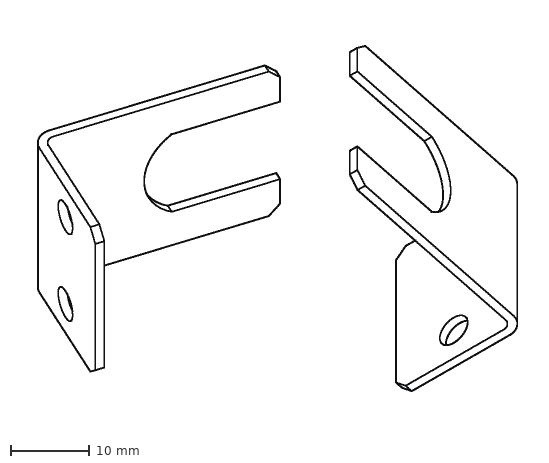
import cadquery as cq

short_leg = 20.32
long_leg = 34.29
height = 25.4
thickness = 1.27
inner_bend_radius = thickness
outer_bend_radius = inner_bend_radius + thickness
corner_chamfer = 1.6

hole_diameter = 4.572
hole_spacing = 15.24
hole_x = 10.795

slot_width = 13.6
slot_depth = 19.05
slot_side_length = 15.2

mid_height = height / 2


def bent_sheet():
    """L-shaped sheet, with the outer bend corner at the origin."""
    profile = (
        cq.Workplane("XY")
        .polyline(
            [
                (0, 0),
                (short_leg, 0),
                (short_leg, thickness),
                (thickness, thickness),
                (thickness, long_leg),
                (0, long_leg),
            ]
        )
        .close()
    )
    sheet = profile.extrude(height)
    sheet = sheet.edges(cq.selectors.NearestToPointSelector((0, 0, mid_height))).fillet(outer_bend_radius)
    inner_corner = (thickness, thickness, mid_height)
    return sheet.edges(cq.selectors.NearestToPointSelector(inner_corner)).fillet(inner_bend_radius)


def chamfer_leg_ends(sheet):
    """Cut the top and bottom corners off the free end of each leg."""
    sheet = sheet.faces(">X").edges("|Y").chamfer(corner_chamfer)
    return sheet.faces(">Y").edges("|X").chamfer(corner_chamfer)


def mounting_holes():
    """Two cylinders through the short leg, one above the other."""
    return (
        cq.Workplane("XZ")
        .pushPoints([(hole_x, mid_height + side * hole_spacing / 2) for side in (-1, 1)])
        .circle(hole_diameter / 2)
        .extrude(-thickness)
    )


def open_slot():
    """Slot cut in from the end of the long leg, with an arc-shaped bottom."""
    slot_low = mid_height - slot_width / 2
    slot_high = mid_height + slot_width / 2
    arc_start_y = long_leg - slot_side_length
    return (
        cq.Workplane("YZ")
        .moveTo(long_leg, slot_low)
        .lineTo(arc_start_y, slot_low)
        .threePointArc((long_leg - slot_depth, mid_height), (arc_start_y, slot_high))
        .lineTo(long_leg, slot_high)
        .close()
        .extrude(thickness)
    )


bracket = chamfer_leg_ends(bent_sheet())
result = bracket.cut(mounting_holes()).cut(open_slot())